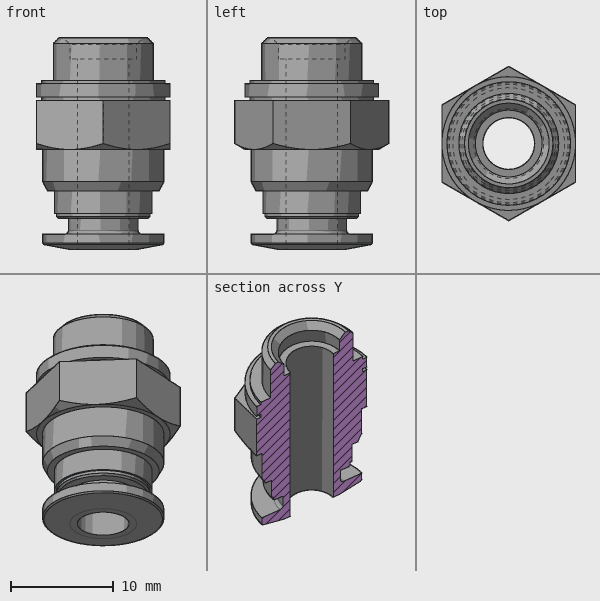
import cadquery as cq
import math

total_height = 20.6

thread_dia = 9.72
thread_bottom = 16.44
thread_chamfer = 0.58
bore_dia = 5.0
counterbore_dia = 6.49
counterbore_depth = 2.08
countersink_depth = 0.68

lip_dia = 12.0
washer_dia = 13.0
washer_top = 16.1
washer_bottom = 14.81

hex_flats = 13.0
hex_top = 14.5
hex_bottom = 9.72
hex_cone_angle = 30.0

body_dia = 11.8
body_end_dia = 10.85
body_taper_top = 6.6
body_bottom = 5.7

sleeve_dia = 9.5
sleeve_bottom = 3.5
sleeve_end_dia = 9.1
sleeve_end_bottom = 3.03
sleeve_end_chamfer = 0.19

neck_dia = 6.8
neck_fillet = 0.35
collar_dia = 11.8
collar_top = 1.5
collar_edge_bottom = 0.62
collar_edge_chamfer = 0.15
collar_face_dia = 6.49


def cylinder(diameter, bottom, top):
    return cq.Workplane("XY").workplane(offset=bottom).circle(diameter / 2).extrude(top - bottom)


def cone(bottom_dia, top_dia, bottom, top):
    return (
        cq.Workplane("XY").workplane(offset=bottom).circle(bottom_dia / 2)
        .workplane(offset=top - bottom).circle(top_dia / 2).loft(ruled=True)
    )


def make_thread():
    thread = cylinder(thread_dia, thread_bottom, total_height)
    return thread.faces(">Z").chamfer(thread_chamfer)


def make_washer():
    lips = cylinder(lip_dia, hex_top, thread_bottom)
    return lips.union(cylinder(washer_dia, washer_bottom, washer_top))


def make_hexagon():
    height = hex_top - hex_bottom
    corner_dia = hex_flats / math.cos(math.radians(30))
    prism = (
        cq.Workplane("XY").workplane(offset=hex_bottom)
        .polygon(6, corner_dia).extrude(height)
        .rotate((0, 0, 0), (0, 0, 1), 30)
    )
    cone_top_dia = hex_flats + 2 * height / math.tan(math.radians(hex_cone_angle))
    return prism.intersect(cone(hex_flats, cone_top_dia, hex_bottom, hex_top))


def make_body():
    straight = cylinder(body_dia, body_taper_top, hex_bottom)
    return straight.union(cone(body_end_dia, body_dia, body_bottom, body_taper_top))


def make_sleeve():
    sleeve = cylinder(sleeve_dia, sleeve_bottom, body_bottom)
    end = cylinder(sleeve_end_dia, sleeve_end_bottom, sleeve_bottom)
    return sleeve.union(end.faces("<Z").chamfer(sleeve_end_chamfer))


def make_collar():
    neck_radius = neck_dia / 2
    collar_radius = collar_dia / 2
    fillet_inset = neck_fillet * (1 - math.sqrt(0.5))
    return (
        cq.Workplane("XZ")
        .lineTo(collar_face_dia / 2, 0)
        .lineTo(collar_radius - collar_edge_chamfer, collar_edge_bottom - collar_edge_chamfer)
        .lineTo(collar_radius, collar_edge_bottom)
        .lineTo(collar_radius, collar_top)
        .lineTo(neck_radius + neck_fillet, collar_top)
        .threePointArc(
            (neck_radius + fillet_inset, collar_top + fillet_inset),
            (neck_radius, collar_top + neck_fillet),
        )
        .lineTo(neck_radius, sleeve_end_bottom)
        .lineTo(0, sleeve_end_bottom)
        .close()
        .revolve(360, (0, 0, 0), (0, 1, 0))
    )


def make_bore():
    bore = cylinder(bore_dia, 0, total_height)
    counterbore = cylinder(counterbore_dia, total_height - counterbore_depth, total_height)
    countersink = cone(
        counterbore_dia, counterbore_dia + 2 * countersink_depth,
        total_height - countersink_depth, total_height,
    )
    return bore.union(counterbore).union(countersink)


result = (
    make_thread()
    .union(make_washer())
    .union(make_hexagon())
    .union(make_body())
    .union(make_sleeve())
    .union(make_collar())
    .cut(make_bore())
)